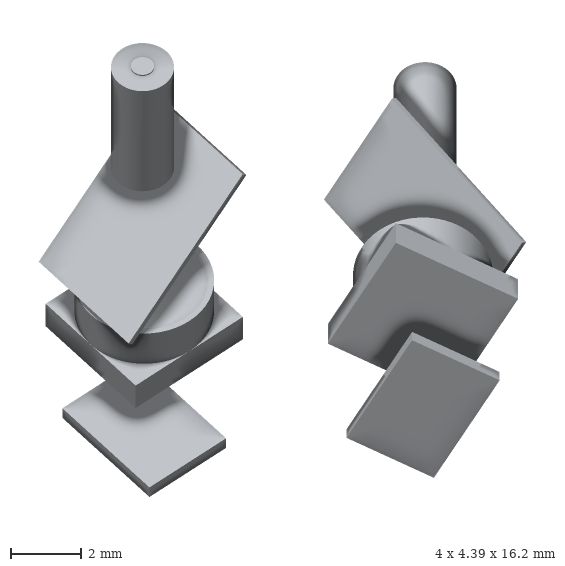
import cadquery as cq
import math


lower_axis_y = 0.06

sensor_length = 3.87
sensor_width = 2.86
sensor_thickness = 0.42

filter_side = 4.0
filter_thickness = 0.99
filter_bottom = 4.42

lens_diameter = filter_side
lens_edge_height = 1.33
dome_diameter = 3.6
dome_height = 0.31

plate_width = filter_side
plate_length = 6.01
plate_thickness = 0.2
plate_tilt = 45
plate_center_z = 9.52

rod_diameter = 1.8
rod_length = 4.42
disc_diameter = 0.67
disc_thickness = 0.05
total_height = 16.24

lens_bottom = filter_bottom + filter_thickness
disc_bottom = total_height - disc_thickness
rod_bottom = disc_bottom - rod_length


def block(length, width, height, bottom):
    """Rectangular block centred on the lower optical axis."""
    return cq.Workplane("XY", origin=(0, lower_axis_y, bottom)).box(
        length, width, height, centered=(True, True, False)
    )


def cylinder(diameter, height, bottom):
    """Upright cylinder on the Z axis."""
    return cq.Workplane("XY", origin=(0, 0, bottom)).circle(diameter / 2).extrude(height)


def make_lens():
    """Revolve half of the lens section: straight edge, flat rim and spherical dome."""
    lens_radius = lens_diameter / 2
    dome_radius = dome_diameter / 2
    sphere_radius = (dome_radius**2 + dome_height**2) / (2 * dome_height)
    mid_radius = dome_radius / 2
    crown = lens_edge_height + dome_height
    mid_height = crown - sphere_radius + math.sqrt(sphere_radius**2 - mid_radius**2)
    return (
        cq.Workplane("XZ", origin=(0, lower_axis_y, lens_bottom))
        .lineTo(lens_radius, 0)
        .lineTo(lens_radius, lens_edge_height)
        .lineTo(dome_radius, lens_edge_height)
        .threePointArc((mid_radius, mid_height), (0, crown))
        .close()
        .revolve(360, (0, 0, 0), (0, 1, 0))
    )


def make_dichroic_plate():
    """Thin plate turned about X, so that its +Y edge is the higher one."""
    return (
        cq.Workplane("XY")
        .box(plate_width, plate_length, plate_thickness)
        .rotate((0, 0, 0), (1, 0, 0), plate_tilt)
        .translate((0, 0, plate_center_z))
    )


sensor = block(sensor_length, sensor_width, sensor_thickness, 0)
emission_filter = block(filter_side, filter_side, filter_thickness, filter_bottom)
lens = make_lens()
dichroic_plate = make_dichroic_plate()
rod_lens = cylinder(rod_diameter, rod_length, rod_bottom)
specimen_disc = cylinder(disc_diameter, disc_thickness, disc_bottom)

result = cq.Compound.makeCompound(
    [
        sensor.val(),
        emission_filter.val(),
        lens.val(),
        dichroic_plate.val(),
        rod_lens.val(),
        specimen_disc.val(),
    ]
)